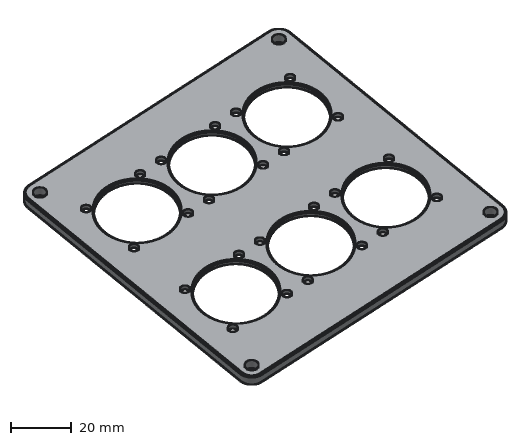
import cadquery as cq

plate_size = 115.2
plate_thickness = 3.9
corner_radius = 5.0
edge_chamfer = 0.5

pocket_size = 98.0
panel_thickness = plate_thickness / 2
pocket_depth = plate_thickness - panel_thickness

mount_spacing = 105.0
mount_diameter = 4.6

columns = 2
rows = 3
column_spacing = 49.0
row_spacing = 33.0
grid_center_x = -0.6
grid_center_y = -1.2
opening_diameter = 28.3
opening_chamfer = edge_chamfer

screw_spacing = 23.7
screw_diameter = 3.3


def make_plate():
    """Square plate with rounded corners, a chamfered top edge and a pocket underneath."""
    plate = cq.Workplane("XY").rect(plate_size, plate_size).extrude(plate_thickness)
    plate = plate.edges("|Z").fillet(corner_radius)
    plate = plate.faces(">Z").edges().chamfer(edge_chamfer)
    pocket = cq.Workplane("XY").rect(pocket_size, pocket_size).extrude(pocket_depth)
    return plate.cut(pocket)


def square_of_holes(center, spacing, diameter):
    """Four through-hole cutters on the corners of a square."""
    return (
        cq.Workplane("XY")
        .center(*center)
        .rarray(spacing, spacing, 2, 2)
        .circle(diameter / 2)
        .extrude(plate_thickness)
    )


def opening_cutter(center):
    """Through-opening cutter that widens into a chamfer at the top face."""
    bore_radius = opening_diameter / 2
    bore = cq.Workplane("XY").center(*center).circle(bore_radius).extrude(plate_thickness)
    chamfer = (
        cq.Workplane("XY", origin=(0, 0, plate_thickness))
        .center(*center)
        .circle(bore_radius + opening_chamfer)
        .extrude(-opening_chamfer, taper=45)
    )
    return bore.union(chamfer)


result = make_plate()
result = result.cut(square_of_holes((0, 0), mount_spacing, mount_diameter))

for column in range(columns):
    for row in range(rows):
        opening_center = (
            grid_center_x + (column - (columns - 1) / 2) * column_spacing,
            grid_center_y + (row - (rows - 1) / 2) * row_spacing,
        )
        result = result.cut(opening_cutter(opening_center))
        result = result.cut(square_of_holes(opening_center, screw_spacing, screw_diameter))